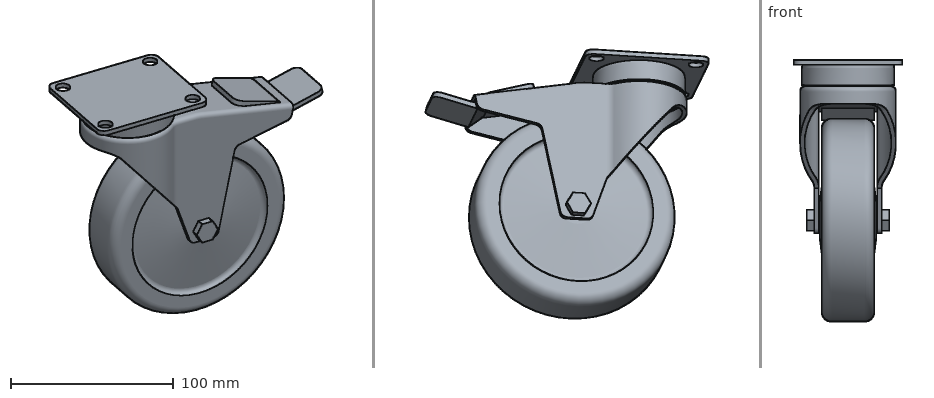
import cadquery as cq
import math


overall_length = 169.7

plate_width = 67.0
plate_length = 76.9
plate_thickness = 3.0
plate_corner_radius = 5.1
plate_top = 161.0
plate_bottom = plate_top - plate_thickness
hole_diameter = 9.0
hole_spacing_x = 52.1
hole_spacing_y = 62.1

bearing_radius = 28.5
bearing_bottom = 145.5
bearing_taper_height = 1.9
bearing_taper_inset = 0.3
neck_radius = 27.0

sheet = 2.9
fork_top = 144.8
crown_radius = 29.5
fork_width = 41.5
fork_half_width = fork_width / 2
crown_blend_radius = 6.5
top_edge_radius = 3.0
bend_start = 34.8
bend_radius = 43.3
slope_angle = math.radians(10.8)
tip_y = 106.0
tip_depth = 9.7
tip_corner_radius = 5.0
rim_bottom = 134.0
rim_cut_y = -20.7
rim_cut_radius = 11.9
leg_front_y = 23.5
leg_front_z = 82.1
leg_rear_y = 64.5
leg_rear_z = 114.4
leg_rear_radius = 5.0
leg_end_z = 54.3
leg_end_rear_reach = 10.0
leg_end_front_reach = 9.0
leg_end_radius = 4.2

wheel_radius = 62.5
wheel_width = 32.6
tread_radius = 6.1
dish_radius = 44.8
dish_lip_radius = 3.2
hub_radius = 10.9
hub_x = 17.5
spacer_radius = 8.0
axle_y = 42.0
axle_z = wheel_radius
bolt_length = 51.0
bolt_across_flats = 13.0

lever_width = 32.6
lever_thickness = 3.4
lever_corner_radius = 5.1
tail_angle = math.radians(14)
tail_end_y = overall_length - plate_length / 2
tail_end_z = 130.7
tail_inner_y = 103.7
pedal_angle = math.radians(16.5)
pedal_knee_y = 96.2
pedal_knee_z = 135.1
pedal_end_y = 67.9
pedal_root_y = 99.0
pedal_root_z = 133.4
crank_under_y = 93.3

clearance = 17.0


def nearest(x, y, z):
    return cq.selectors.NearestToPointSelector((x, y, z))


def extrude_across(profile, width):
    """Extrude a closed YZ profile symmetrically along X."""
    return profile.extrude(width / 2, both=True)


def make_plate():
    plate = (
        cq.Workplane("XY", origin=(0, 0, plate_bottom))
        .rect(plate_width, plate_length)
        .extrude(plate_thickness)
        .edges("|Z")
        .fillet(plate_corner_radius)
    )
    return (
        plate.faces(">Z")
        .workplane(origin=(0, 0, plate_top))
        .rect(hole_spacing_x, hole_spacing_y, forConstruction=True)
        .vertices()
        .hole(hole_diameter)
    )


def make_bearing():
    neck_root_radius = neck_radius - top_edge_radius
    return (
        cq.Workplane("XZ")
        .moveTo(0, fork_top - sheet)
        .lineTo(neck_root_radius, fork_top - sheet)
        .lineTo(neck_root_radius, fork_top)
        .lineTo(neck_radius, fork_top)
        .lineTo(neck_radius, bearing_bottom)
        .lineTo(bearing_radius, bearing_bottom)
        .lineTo(bearing_radius, plate_bottom - bearing_taper_height)
        .lineTo(bearing_radius - bearing_taper_inset, plate_bottom)
        .lineTo(0, plate_bottom)
        .close()
        .revolve(360, (0, 0, 0), (0, 1, 0))
    )


def fork_plan(inset):
    """Keyhole-shaped plan of the fork: round crown blending into two parallel sides."""
    radius = crown_radius - inset
    half_width = fork_half_width - inset
    blend = crown_blend_radius + inset
    blend_x = half_width + blend
    blend_y = math.sqrt((radius + blend) ** 2 - blend_x**2)
    direction = math.atan2(blend_y, blend_x)
    join = (radius * math.cos(direction), radius * math.sin(direction))
    middle_angle = direction / 2
    middle = (blend_x - blend * math.cos(middle_angle), blend_y - blend * math.sin(middle_angle))
    rear = tip_y + clearance
    return (
        cq.Workplane("XY")
        .moveTo(half_width, rear)
        .lineTo(half_width, blend_y)
        .threePointArc(middle, join)
        .threePointArc((0, -radius), (-join[0], join[1]))
        .threePointArc((-middle[0], middle[1]), (-half_width, blend_y))
        .lineTo(-half_width, rear)
        .close()
        .extrude(plate_top)
    )


def top_line(inset, end_y):
    """Start a YZ profile along the fork top: flat crown, bend, then slope down to end_y."""
    radius = bend_radius - inset

    def bend_point(angle):
        return bend_start + radius * math.sin(angle), fork_top - inset - radius * (1 - math.cos(angle))

    bend_end = bend_point(slope_angle)
    end_z = bend_end[1] - (end_y - bend_end[0]) * math.tan(slope_angle)
    profile = (
        cq.Workplane("YZ")
        .moveTo(-crown_radius - clearance, fork_top - inset)
        .lineTo(bend_start, fork_top - inset)
        .threePointArc(bend_point(slope_angle / 2), bend_end)
        .lineTo(end_y, end_z)
    )
    return profile, end_z


def make_fork():
    width = 2 * crown_radius + clearance
    profile, tip_z = top_line(0, tip_y)
    tip_corner = (
        tip_y - tip_depth * math.sin(slope_angle),
        tip_z - tip_depth * math.cos(slope_angle),
    )
    leg_rear = (leg_rear_y, leg_rear_z)
    leg_front = (leg_front_y, leg_front_z)
    leg_end_rear = (axle_y + leg_end_rear_reach, leg_end_z)
    leg_end_front = (axle_y - leg_end_front_reach, leg_end_z)
    side_profile = extrude_across(
        profile.lineTo(*tip_corner)
        .lineTo(*leg_rear)
        .lineTo(*leg_end_rear)
        .lineTo(*leg_end_front)
        .lineTo(*leg_front)
        .lineTo(rim_cut_y, rim_bottom)
        .lineTo(-crown_radius - clearance, rim_bottom)
        .close(),
        width,
    )
    rounded_corners = (
        (tip_corner, tip_corner_radius),
        (leg_rear, leg_rear_radius),
        (leg_end_rear, leg_end_radius),
        (leg_end_front, leg_end_radius),
        ((rim_cut_y, rim_bottom), rim_cut_radius),
    )
    for (y, z), radius in rounded_corners:
        side_profile = side_profile.edges("|X").edges(nearest(0, y, z)).fillet(radius)

    outside = fork_plan(0).intersect(side_profile)
    outside = outside.edges(nearest(fork_half_width, bend_start, fork_top)).fillet(top_edge_radius)

    inner_end = tip_y + clearance
    inner_profile, _ = top_line(sheet, inner_end)
    under_top = extrude_across(
        inner_profile.lineTo(inner_end, 0).lineTo(-crown_radius - clearance, 0).close(),
        width,
    )
    return outside.cut(fork_plan(sheet).intersect(under_top))


def make_wheel():
    half_width = wheel_width / 2
    spacer_x = fork_half_width - sheet
    rim_radius = dish_radius + dish_lip_radius
    dish_floor_x = half_width - dish_lip_radius
    half_tread = half_width - tread_radius
    shoulder_radius = wheel_radius - tread_radius
    wheel = (
        cq.Workplane("XY")
        .moveTo(-spacer_x, 0)
        .lineTo(spacer_x, 0)
        .lineTo(spacer_x, spacer_radius)
        .lineTo(hub_x, spacer_radius)
        .lineTo(hub_x, hub_radius)
        .lineTo(dish_floor_x, dish_radius)
        .radiusArc((half_width, rim_radius), dish_lip_radius)
        .lineTo(half_width, shoulder_radius)
        .radiusArc((half_tread, wheel_radius), -tread_radius)
        .lineTo(-half_tread, wheel_radius)
        .radiusArc((-half_width, shoulder_radius), -tread_radius)
        .lineTo(-half_width, rim_radius)
        .radiusArc((-dish_floor_x, dish_radius), dish_lip_radius)
        .lineTo(-hub_x, hub_radius)
        .lineTo(-hub_x, spacer_radius)
        .lineTo(-spacer_x, spacer_radius)
        .close()
        .revolve(360, (0, 0, 0), (1, 0, 0))
    )
    return wheel.translate((0, axle_y, axle_z))


def make_bolt():
    across_corners = bolt_across_flats / math.cos(math.radians(30))
    bolt = cq.Workplane("YZ").polygon(6, across_corners).extrude(bolt_length / 2, both=True)
    return bolt.translate((0, axle_y, axle_z))


def make_lever():
    tail_normal = (-math.sin(tail_angle), math.cos(tail_angle))
    pedal_normal = (math.sin(pedal_angle), math.cos(pedal_angle))

    def tail_under(y):
        return y, tail_end_z - (tail_end_y - y) * math.tan(tail_angle)

    def pedal_over(y):
        return y, pedal_knee_z + (pedal_knee_y - y) * math.tan(pedal_angle)

    def raised(point, normal, distance):
        return point[0] + distance * normal[0], point[1] + distance * normal[1]

    outline = [
        tail_under(tail_end_y),
        tail_under(tail_inner_y),
        raised(pedal_over(crank_under_y), pedal_normal, -lever_thickness),
        raised(pedal_over(pedal_end_y), pedal_normal, -lever_thickness),
        pedal_over(pedal_end_y),
        pedal_over(pedal_knee_y),
        (pedal_root_y, pedal_root_z),
        raised(tail_under(tail_inner_y), tail_normal, lever_thickness),
        raised(tail_under(tail_end_y), tail_normal, lever_thickness),
    ]
    lever = extrude_across(cq.Workplane("YZ").polyline(outline).close(), lever_width)
    strip_ends = (
        (tail_under(tail_end_y), tail_normal),
        (pedal_over(pedal_end_y), pedal_normal),
    )
    for (y, z), normal in strip_ends:
        across_strip = cq.selectors.ParallelDirSelector(cq.Vector(0, *normal))
        for x in (-lever_width / 2, lever_width / 2):
            lever = lever.edges(across_strip).edges(nearest(x, y, z)).fillet(lever_corner_radius)
    return lever


result = (
    make_plate()
    .union(make_bearing())
    .union(make_fork())
    .union(make_wheel())
    .union(make_bolt())
    .union(make_lever())
)